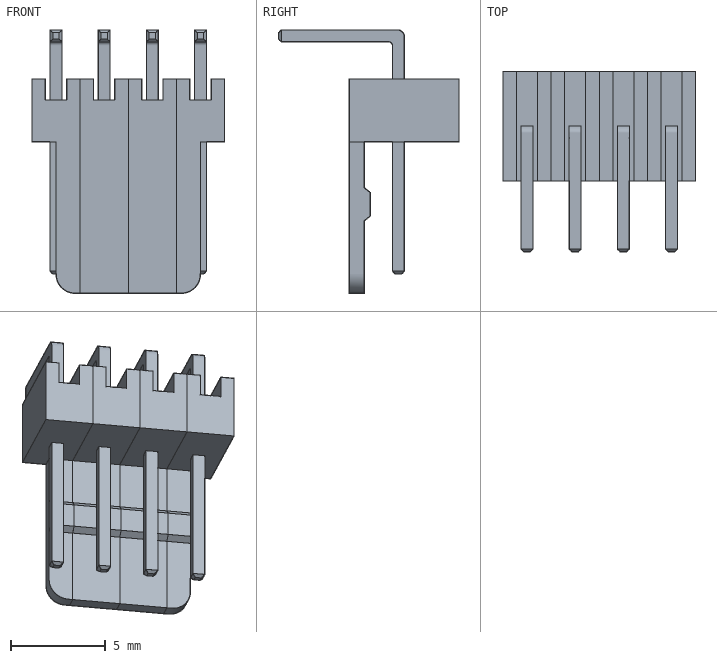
import cadquery as cq


TOTAL_WIDTH = 10.16
TOTAL_DEPTH = 9.52
TOTAL_HEIGHT = 13.9
MODULE_COUNT = 4
PITCH = TOTAL_WIDTH / MODULE_COUNT

BLOCK_DEPTH = 5.8
BLOCK_BOTTOM = 7.99
BLOCK_HEIGHT = 3.32
BLOCK_TOP = BLOCK_BOTTOM + BLOCK_HEIGHT
GROOVE_WIDTH = 1.11
GROOVE_DEPTH = 1.11
GROOVE_FLOOR = BLOCK_TOP - GROOVE_DEPTH

WALL_THICKNESS = 0.8
WALL_CORNER_RADIUS = 1.01
BUMP_HEIGHT = 0.32
BUMP_RAMP = 0.26
BUMP_BOTTOM = 3.82
BUMP_TOP = 5.57

PIN_SIZE = 0.64
PIN_FRONT = 2.28
PIN_BACK = PIN_FRONT + PIN_SIZE
PIN_BOTTOM = 1.01
PIN_TIP_Y = BLOCK_DEPTH - TOTAL_DEPTH
PIN_TIP_CHAMFER = 0.15
BEND_OUTER_RADIUS = 0.38
BEND_INNER_RADIUS = 0.2


def extrude_along_x(profile, x_start, x_end):
    """Extrude a YZ profile from x_start to x_end."""
    return profile.extrude(x_end - x_start).translate((x_start, 0, 0))


def make_block(center_x):
    """Base block of one module, grooved along its top."""
    block = (
        cq.Workplane("XY", origin=(center_x, BLOCK_DEPTH / 2, BLOCK_BOTTOM))
        .box(PITCH, BLOCK_DEPTH, BLOCK_HEIGHT, centered=(True, True, False))
    )
    groove = (
        cq.Workplane("XY", origin=(center_x, BLOCK_DEPTH / 2, GROOVE_FLOOR))
        .box(GROOVE_WIDTH, BLOCK_DEPTH, GROOVE_DEPTH, centered=(True, True, False))
    )
    return block.cut(groove)


def make_latch_wall(x_start, x_end):
    """Stretch of the latch wall, with the snap bump along its rear face."""
    profile = cq.Workplane("YZ").polyline([
        (0, 0),
        (WALL_THICKNESS, 0),
        (WALL_THICKNESS, BUMP_BOTTOM),
        (WALL_THICKNESS + BUMP_HEIGHT, BUMP_BOTTOM + BUMP_RAMP),
        (WALL_THICKNESS + BUMP_HEIGHT, BUMP_TOP - BUMP_RAMP),
        (WALL_THICKNESS, BUMP_TOP),
        (WALL_THICKNESS, BLOCK_BOTTOM),
        (0, BLOCK_BOTTOM),
    ]).close()
    return extrude_along_x(profile, x_start, x_end)


def make_pin(center_x):
    """Square pin, vertical through the block and bent forward above it."""
    arm_bottom = TOTAL_HEIGHT - PIN_SIZE
    profile = cq.Workplane("YZ").polyline([
        (PIN_FRONT, PIN_BOTTOM),
        (PIN_BACK, PIN_BOTTOM),
        (PIN_BACK, TOTAL_HEIGHT),
        (PIN_TIP_Y, TOTAL_HEIGHT),
        (PIN_TIP_Y, arm_bottom),
        (PIN_FRONT, arm_bottom),
    ]).close()
    pin = extrude_along_x(profile, center_x - PIN_SIZE / 2, center_x + PIN_SIZE / 2)
    pin = pin.faces("<Z or <Y").chamfer(PIN_TIP_CHAMFER)
    outer_corner = cq.selectors.NearestToPointSelector((center_x, PIN_BACK, TOTAL_HEIGHT))
    pin = pin.edges("|X").edges(outer_corner).fillet(BEND_OUTER_RADIUS)
    inner_corner = cq.selectors.NearestToPointSelector((center_x, PIN_FRONT, arm_bottom))
    return pin.edges("|X").edges(inner_corner).fillet(BEND_INNER_RADIUS)


def make_middle_module(center_x):
    """Module whose latch wall spans the full pitch."""
    wall = make_latch_wall(center_x - PITCH / 2, center_x + PITCH / 2)
    return make_block(center_x).union(wall).union(make_pin(center_x))


def make_left_end_module(center_x):
    """End module whose latch wall stops at the pin centre, with a rounded lower corner."""
    wall = make_latch_wall(center_x, center_x + PITCH / 2)
    wall = wall.edges("|Y and <X and <Z").fillet(WALL_CORNER_RADIUS)
    return make_block(center_x).union(wall).union(make_pin(center_x))


first_center = -(MODULE_COUNT - 1) * PITCH / 2

left_end_module = make_left_end_module(first_center)
right_end_module = left_end_module.mirror("YZ")

middle_modules = []
for index in range(1, MODULE_COUNT - 1):
    middle_modules.append(make_middle_module(first_center + index * PITCH))

result = cq.Compound.makeCompound([
    left_end_module.val(),
    *[module.val() for module in middle_modules],
    right_end_module.val(),
])